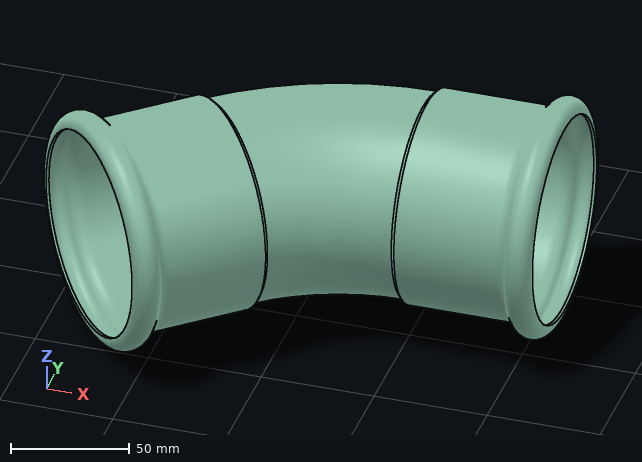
import cadquery as cq
import math

bend_angle = 41.0
bend_radius = 119.3
pipe_radius = 44.7
wall = 1.3

socket_length = 62.8
step_length = 1.8
socket_radius = 46.7
flare_start = 16.5

bead_crest_radius = 52.5
bead_tube_radius = 6.2
bead_center_radius = bead_crest_radius - bead_tube_radius
lip_radius = 45.4

groove_tube_radius = bead_tube_radius - wall

flare_depth = flare_start - bead_tube_radius
flare_offset = socket_radius - bead_center_radius
flare_radius = (flare_depth**2 + flare_offset**2 - bead_tube_radius**2) / (
    2 * (bead_tube_radius - flare_offset)
)
flare_center_radius = socket_radius + flare_radius
tangent_angle = math.degrees(math.atan2(flare_depth, flare_center_radius - bead_center_radius))


def circle_point(tube_radius, angle):
    """Point (radius, depth) on the bead section; 0 degrees is outward, 90 is inward along the pipe."""
    a = math.radians(angle)
    return (bead_center_radius + tube_radius * math.cos(a), bead_tube_radius + tube_radius * math.sin(a))


def flare_midpoint(radius):
    """Middle of a flare arc, halfway between its tangent points on the socket and the bead."""
    a = math.radians(180 + tangent_angle / 2)
    return (flare_center_radius + radius * math.cos(a), flare_start + radius * math.sin(a))


def socket():
    """Socket along +Y with its open face at Y = 0, made as one thin revolved wall."""
    lip_angle = -math.degrees(math.acos((lip_radius - bead_center_radius) / bead_tube_radius))
    groove_lip_angle = -math.degrees(math.acos((lip_radius - bead_center_radius) / groove_tube_radius))
    step_start = socket_length - step_length
    profile = (
        cq.Workplane("XY")
        .moveTo(pipe_radius - wall, socket_length)
        .lineTo(pipe_radius, socket_length)
        .lineTo(socket_radius, step_start)
        .lineTo(socket_radius, flare_start)
        .threePointArc(flare_midpoint(flare_radius), circle_point(bead_tube_radius, tangent_angle))
        .threePointArc(circle_point(bead_tube_radius, 0), circle_point(bead_tube_radius, lip_angle))
        .lineTo(*circle_point(groove_tube_radius, groove_lip_angle))
        .threePointArc(circle_point(groove_tube_radius, 0), circle_point(groove_tube_radius, tangent_angle))
        .threePointArc(flare_midpoint(flare_radius + wall), (socket_radius - wall, flare_start))
        .lineTo(socket_radius - wall, step_start)
        .close()
    )
    return profile.revolve(360, (0, 0, 0), (0, 1, 0))


def bend():
    """Curved pipe starting at the origin, heading along -X and curving towards -Y."""
    return (
        cq.Workplane("YZ")
        .circle(pipe_radius)
        .circle(pipe_radius - wall)
        .revolve(bend_angle, (-bend_radius, 0, 0), (-bend_radius, 1, 0))
    )


straight_socket = socket().rotate((0, 0, 0), (0, 0, 1), 90).translate((socket_length, 0, 0))

bend_axis = [(0, -bend_radius, 0), (0, -bend_radius, 1)]
angled_socket = straight_socket.mirror("YZ").rotate(*bend_axis, bend_angle)

result = bend().union(straight_socket).union(angled_socket)